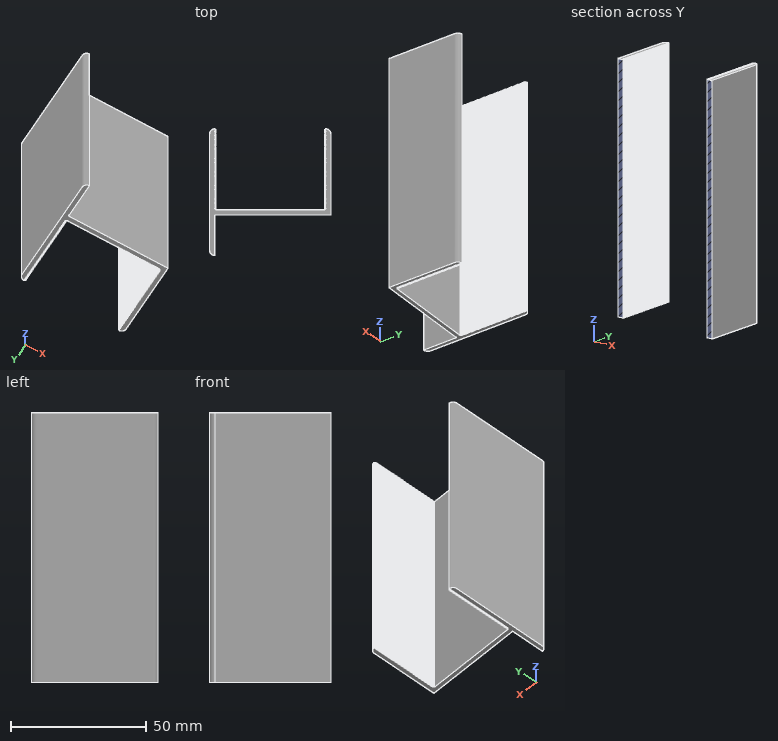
import cadquery as cq
import math

length = 100.0
width = 45.0
wall = 2.0
channel_depth = 30.0
flange_drop = 15.0

tooth_pitch = 0.5
tooth_height = 0.5

outer_x = width / 2
inner_x = outer_x - wall
web_bottom_y = -wall
flange_end_y = web_bottom_y - flange_drop
tooth_count = round(channel_depth / tooth_pitch)

tip_radius = wall
arc_middle = tip_radius * math.sqrt(0.5)
arc_middle_x = inner_x + arc_middle
upper_arc_y = channel_depth - tip_radius
lower_arc_y = flange_end_y + tip_radius


def tooth_points(side):
    """Sawtooth outline of one inner face (side -1 left, +1 right), from the floor to the wall tip.

    Each tooth has a flat ledge facing the floor and a slope running back to the wall.
    """
    root_x = side * inner_x
    crest_x = side * (inner_x - tooth_height)
    points = [(crest_x, 0)]
    for index in range(1, tooth_count):
        ledge_y = index * tooth_pitch
        points.append((root_x, ledge_y))
        points.append((crest_x, ledge_y))
    points.append((root_x, channel_depth))
    return points


def profile():
    """Closed outline: a toothed channel whose left wall continues below the web as a flange."""
    left_face_downward = tooth_points(-1)[::-1]
    right_face_upward = tooth_points(1)
    outline = cq.Workplane("XY", origin=(0, 0, -length / 2))

    outline = (
        outline.moveTo(-inner_x, flange_end_y)
        .threePointArc((-arc_middle_x, lower_arc_y - arc_middle), (-outer_x, lower_arc_y))
        .lineTo(-outer_x, upper_arc_y)
        .threePointArc((-arc_middle_x, upper_arc_y + arc_middle), (-inner_x, channel_depth))
    )

    for x, y in left_face_downward[1:] + right_face_upward:
        outline = outline.lineTo(x, y)

    return (
        outline.threePointArc((arc_middle_x, upper_arc_y + arc_middle), (outer_x, upper_arc_y))
        .lineTo(outer_x, web_bottom_y)
        .lineTo(-inner_x, web_bottom_y)
        .close()
    )


result = profile().extrude(length)